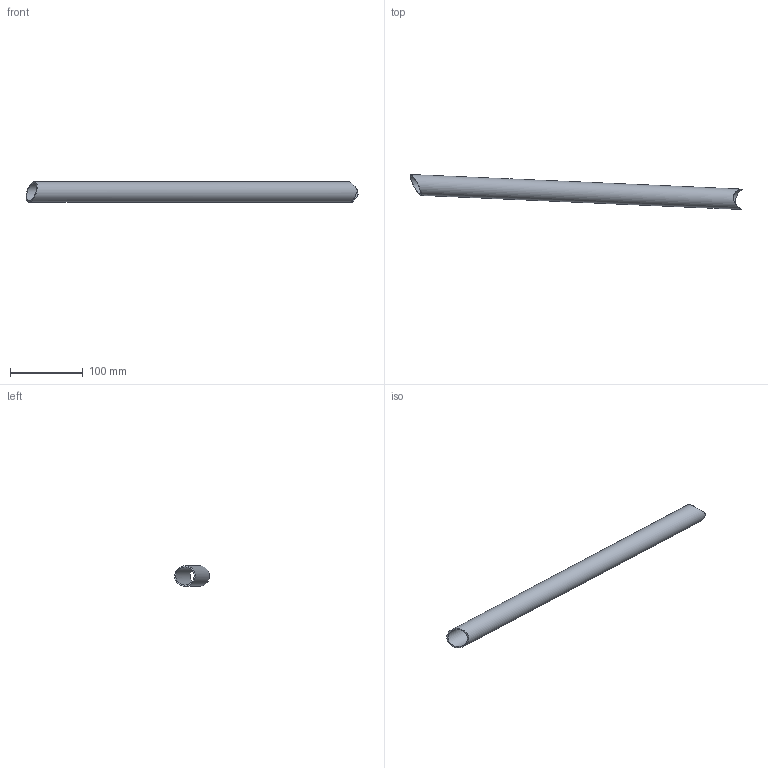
import cadquery as cq

outer_diameter = 28.0
wall_thickness = 1.6
tube_yaw = -2.526

centre_length = 453.65

mitre_yaw = 25.2
mitre_lean = 13.5

mating_diameter = 30.0
mating_back_lean = 7.0
mating_side_lean = 9.0

outer_radius = outer_diameter / 2
inner_radius = outer_radius - wall_thickness

end_allowance = 3 * outer_diameter
mitre_block_size = 4 * end_allowance

ORIGIN = (0, 0, 0)
X_AXIS = (1, 0, 0)
Y_AXIS = (0, 1, 0)
Z_AXIS = (0, 0, 1)


def make_tube_stock():
    """Plain tube along +X, from beyond the mitre to the axis of the mating tube."""
    start_plane = cq.Plane(origin=(-end_allowance, 0, 0), xDir=Z_AXIS, normal=X_AXIS)
    return (
        cq.Workplane(start_plane)
        .circle(outer_radius)
        .circle(inner_radius)
        .extrude(end_allowance + centre_length)
    )


def make_saddle_cutter():
    """Leaning cylinder whose axis crosses the tube axis at the +X end."""
    return (
        cq.Workplane("XY")
        .circle(mating_diameter / 2)
        .extrude(end_allowance, both=True)
        .rotate(ORIGIN, X_AXIS, -mating_side_lean)
        .rotate(ORIGIN, Y_AXIS, -mating_back_lean)
        .translate((centre_length, 0, 0))
    )


def make_mitre_cutter():
    """Block filling the -X side of the mitre plane."""
    return (
        cq.Workplane("XY")
        .box(mitre_block_size, mitre_block_size, mitre_block_size)
        .translate((-mitre_block_size / 2, 0, 0))
        .rotate(ORIGIN, Y_AXIS, mitre_lean)
        .rotate(ORIGIN, Z_AXIS, mitre_yaw)
    )


coped_tube = make_tube_stock().cut(make_saddle_cutter())
swung_tube = coped_tube.rotate(ORIGIN, Z_AXIS, tube_yaw)
result = swung_tube.cut(make_mitre_cutter())